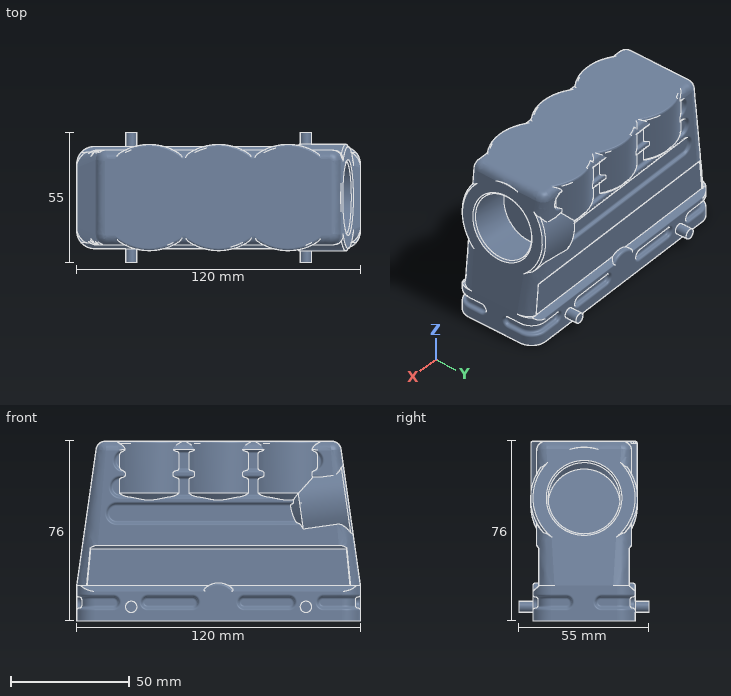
import cadquery as cq
import math

HEIGHT = 76.0
HALF_LENGTH = 60.0
BODY_HALF_WIDTH = 20.1
END_TAPER = 8.1
TOP_FILLET = 4.0
BODY_BOTTOM_CORNER = 7.7
BODY_TOP_CORNER = 4.1

BASE_HALF_WIDTH = 21.65
BASE_CORNER = 7.7
BASE_TOP = 14.9
LIP_EDGE_Z = 12.6
LIP_EDGE_FILLET = 0.5

BUMP_RADIUS = 8.3
BUMP_FILLET = 1.2

PANEL_HALF_WIDTH = 18.95
PANEL_TOP_Z = 30.4
PANEL_RAMP_Z = 32.0
PANEL_BOTTOM_HALF_LENGTH = 55.5
PANEL_END_SLOPE = 0.097

GRIP_DEPTH = 1.45
GRIP_FLOOR_HALF = 3.1
GRIP_EDGE_HALF = 5.05
GRIP_LEVELS = (45.4, 56.5, 67.6)
GRIP_END_MARGIN = 7.7

LOBE_RADIUS = 22.5
LOBE_PITCH = 29.3
LOBE_REACH = 46.0
LOBE_BOTTOM_Z = 54.0
LOBE_TOP_FILLET = 0.95
LOBE_CONE_DROP = 4.0
LOBE_CONE_RUN = 3.3

BOSS_RADIUS = 22.6
BOSS_LENGTH = 20.6
BOSS_CONE = 5.0
BOSS_RIM_CHAMFER = 1.0
ENTRY_Z = 52.0
ENTRY_DIAMETER = 30.38
ENTRY_CHAMFER = 0.8
ENTRY_DEPTH = 20.0

LATCH_Z = 7.8
LATCH_FLOOR_HALF = 1.25
LATCH_DEPTH = 2.2
LATCH_EDGE_HALF = LATCH_FLOOR_HALF + LATCH_DEPTH
LATCH_INNER_X = 10.95
LATCH_OUTER_X = 29.9
CORNER_LATCH_X = 44.4
CORNER_LATCH_Y = 7.4

PIN_DIAMETER = 4.8
PIN_X = 36.9
PIN_Z = 6.0
PIN_HALF_SPAN = 27.5

FRONT = (0, -1, 0)
LEFT = (-1, 0, 0)
GROOVE_OVERCUT = 0.5
SELECTION_MARGIN = 0.05
PAST_BODY = 100.0

TAPER_RUN = math.tan(math.radians(END_TAPER))


def end_x(z):
    """X of the tapered end face at height z."""
    return HALF_LENGTH - (z - BASE_TOP) * TAPER_RUN


def both_long_sides(shape):
    """The shape together with its mirror image across the XZ plane."""
    return shape.union(shape.mirror("XZ"))


def rounded_rectangle(half_length, half_width, corner):
    return cq.Sketch().rect(2 * half_length, 2 * half_width).vertices().fillet(corner)


def make_body():
    bottom = rounded_rectangle(HALF_LENGTH, BODY_HALF_WIDTH, BODY_BOTTOM_CORNER)
    top = rounded_rectangle(end_x(HEIGHT), BODY_HALF_WIDTH, BODY_TOP_CORNER)
    body = cq.Workplane("XY").placeSketch(
        bottom.moved(cq.Location(cq.Vector(0, 0, BASE_TOP))),
        top.moved(cq.Location(cq.Vector(0, 0, HEIGHT))),
    ).loft(ruled=True)
    return body.faces(">Z").edges().fillet(TOP_FILLET)


def panel_outline(half_width, top_z, widening):
    """Trapezoid in the plane y = -half_width, with ends parallel to the panel ends."""
    bottom = PANEL_BOTTOM_HALF_LENGTH + widening
    top = bottom - (top_z - BASE_TOP) * PANEL_END_SLOPE
    corners = [(-bottom, BASE_TOP), (bottom, BASE_TOP), (top, top_z), (-top, top_z)]
    return cq.Wire.makePolygon([(x, -half_width, z) for x, z in corners], close=True)


def make_panel_cutter():
    """Recess for the front panel, flaring from its floor out to the body face."""
    depth = BODY_HALF_WIDTH - PANEL_HALF_WIDTH
    floor = panel_outline(PANEL_HALF_WIDTH, PANEL_TOP_Z, 0)
    face = panel_outline(BODY_HALF_WIDTH, PANEL_RAMP_Z, depth)
    return cq.Workplane(cq.Solid.makeLoft([floor, face], ruled=True))


def groove_plane(origin, outward):
    """Section plane of a level groove: local x points up, local y out of the face."""
    up = cq.Vector(0, 0, 1)
    return cq.Plane(origin, xDir=up, normal=up.cross(cq.Vector(*outward)))


def groove_wall(outline, floor_half, edge_half, depth):
    """Two equal tangent arcs from the floor to the face.

    The arcs meet at half depth; their radius follows from the run and the depth.
    """
    run = edge_half - floor_half
    radius = (run**2 + depth**2) / (4 * depth)
    half_angle = math.asin(run / 2 / radius) / 2
    across = radius * math.sin(half_angle)
    rise = radius * (1 - math.cos(half_angle))
    return (
        outline.lineTo(floor_half, -depth)
        .threePointArc(
            (floor_half + across, rise - depth),
            ((floor_half + edge_half) / 2, -depth / 2),
        )
        .threePointArc((edge_half - across, -rise), (edge_half, 0))
        .lineTo(edge_half, GROOVE_OVERCUT)
    )


def half_section(plane, floor_half, edge_half, depth):
    outline = cq.Workplane(plane).moveTo(0, -depth)
    outline = groove_wall(outline, floor_half, edge_half, depth)
    return outline.lineTo(0, GROOVE_OVERCUT).close()


def groove_run(origin, outward, length, profile):
    """Straight stretch of groove with the full section."""
    half = half_section(groove_plane(origin, outward), *profile).extrude(length)
    return half.union(half.mirror("XY", basePointVector=origin))


def groove_end(origin, outward, profile):
    """Round end of a groove, turned about the outward axis."""
    half = half_section(groove_plane(origin, outward), *profile)
    return half.revolve(360, (0, 0), (0, 1))


def groove_corner(origin, outward, corner, profile):
    """Quarter turn of groove round a vertical corner, starting on a long side."""
    half = half_section(groove_plane(origin, outward), *profile)
    turn = half.revolve(90, (0, -corner), (-1, -corner))
    return turn.union(turn.mirror("XY", basePointVector=origin))


def front_groove(x_start, x_end, face_y, z, profile):
    start = (x_start, -face_y, z)
    end = (x_end, -face_y, z)
    return (
        groove_run(start, FRONT, x_end - x_start, profile)
        .union(groove_end(start, FRONT, profile))
        .union(groove_end(end, FRONT, profile))
    )


def make_grip_grooves():
    """Front grip grooves, each ending a fixed distance short of the tapered ends."""
    profile = (GRIP_FLOOR_HALF, GRIP_EDGE_HALF, GRIP_DEPTH)
    grooves = cq.Workplane("XY")
    for z in GRIP_LEVELS:
        x = end_x(z) - GRIP_END_MARGIN - GRIP_EDGE_HALF
        grooves = grooves.add(front_groove(-x, x, BODY_HALF_WIDTH, z, profile))
    return grooves.combine()


def make_lobes():
    """Three upright cylinders with coned undersides and rounded top rims."""
    cone_radius = LOBE_RADIUS - LOBE_CONE_RUN
    cone_bottom = LOBE_BOTTOM_Z - LOBE_CONE_DROP
    lobe = (
        cq.Workplane("XZ")
        .moveTo(0, cone_bottom)
        .lineTo(cone_radius, cone_bottom)
        .lineTo(LOBE_RADIUS, LOBE_BOTTOM_Z)
        .lineTo(LOBE_RADIUS, HEIGHT)
        .lineTo(0, HEIGHT)
        .close()
        .revolve(360, (0, 0), (0, 1))
        .faces(">Z")
        .edges()
        .fillet(LOBE_TOP_FILLET)
    )
    lobes = lobe
    for x in (-LOBE_PITCH, LOBE_PITCH):
        lobes = lobes.union(lobe.translate((x, 0, 0)))
    reach = cq.Workplane("XY").box(2 * LOBE_REACH, PAST_BODY, 2 * HEIGHT)
    return lobes.intersect(reach)


def entry_workplane():
    """Plane on the right end face at the cable entry; local z points outwards."""
    angle = math.radians(END_TAPER)
    outward = (math.cos(angle), 0, math.sin(angle))
    return cq.Workplane(cq.Plane((end_x(ENTRY_Z), 0, ENTRY_Z), xDir=(0, 1, 0), normal=outward))


def make_boss():
    boss = entry_workplane().circle(BOSS_RADIUS).extrude(-BOSS_LENGTH - BOSS_CONE)
    boss = boss.faces(">X").edges().chamfer(BOSS_RIM_CHAMFER)
    return boss.faces("<X").edges().chamfer(BOSS_CONE)


def make_entry_hole():
    hole = entry_workplane().circle(ENTRY_DIAMETER / 2).extrude(-ENTRY_DEPTH)
    rim_radius = ENTRY_DIAMETER / 2 + ENTRY_CHAMFER
    rim = entry_workplane().circle(rim_radius).extrude(-ENTRY_CHAMFER, taper=45)
    return hole.union(rim)


def make_base():
    """Rounded base block whose long top edges are bevelled down from the panels."""
    plan = (
        cq.Workplane("XY")
        .rect(2 * HALF_LENGTH, 2 * BASE_HALF_WIDTH)
        .extrude(BASE_TOP)
        .edges("|Z")
        .fillet(BASE_CORNER)
    )
    bevelled = (
        cq.Workplane("YZ")
        .moveTo(-BASE_HALF_WIDTH, 0)
        .lineTo(BASE_HALF_WIDTH, 0)
        .lineTo(BASE_HALF_WIDTH, LIP_EDGE_Z)
        .lineTo(PANEL_HALF_WIDTH, BASE_TOP)
        .lineTo(-PANEL_HALF_WIDTH, BASE_TOP)
        .lineTo(-BASE_HALF_WIDTH, LIP_EDGE_Z)
        .close()
        .extrude(HALF_LENGTH, both=True)
    )
    lip_edges = cq.selectors.BoxSelector(
        (-PAST_BODY, -PAST_BODY, LIP_EDGE_Z - SELECTION_MARGIN),
        (PAST_BODY, PAST_BODY, LIP_EDGE_Z + SELECTION_MARGIN),
    )
    return plan.intersect(bevelled.edges(lip_edges).fillet(LIP_EDGE_FILLET))


def make_bumps():
    """Level half cylinder across the base whose top shows above both lips."""
    bump = (
        cq.Workplane("XZ")
        .moveTo(-BUMP_RADIUS, LATCH_Z)
        .threePointArc((0, LATCH_Z + BUMP_RADIUS), (BUMP_RADIUS, LATCH_Z))
        .close()
        .extrude(BASE_HALF_WIDTH, both=True)
    )
    return bump.faces("<Y or >Y").edges("%CIRCLE").fillet(BUMP_FILLET)


def make_latch_recesses():
    """Two recesses on the front and one round each front corner."""
    profile = (LATCH_FLOOR_HALF, LATCH_EDGE_HALF, LATCH_DEPTH)
    straight = front_groove(-LATCH_OUTER_X, -LATCH_INNER_X, BASE_HALF_WIDTH, LATCH_Z, profile)

    corner_x = HALF_LENGTH - BASE_CORNER
    corner_y = BASE_HALF_WIDTH - BASE_CORNER
    front_end = (-CORNER_LATCH_X, -BASE_HALF_WIDTH, LATCH_Z)
    corner_start = (-corner_x, -BASE_HALF_WIDTH, LATCH_Z)
    side_end = (-HALF_LENGTH, -CORNER_LATCH_Y, LATCH_Z)
    wrapped = (
        groove_run(corner_start, FRONT, corner_x - CORNER_LATCH_X, profile)
        .union(groove_end(front_end, FRONT, profile))
        .union(groove_corner(corner_start, FRONT, BASE_CORNER, profile))
        .union(groove_run(side_end, LEFT, corner_y - CORNER_LATCH_Y, profile))
        .union(groove_end(side_end, LEFT, profile))
    )
    left = straight.union(wrapped)
    return left.union(left.mirror("YZ"))


def make_pins():
    pins = cq.Workplane("XZ").pushPoints([(-PIN_X, PIN_Z), (PIN_X, PIN_Z)])
    return pins.circle(PIN_DIAMETER / 2).extrude(PIN_HALF_SPAN, both=True)


body = make_body().cut(both_long_sides(make_panel_cutter()))
body = body.cut(both_long_sides(make_grip_grooves()))
hood = body.union(make_lobes()).union(make_boss()).cut(make_entry_hole())
base = make_base().union(make_bumps()).cut(both_long_sides(make_latch_recesses()))
result = hood.union(base).union(make_pins())